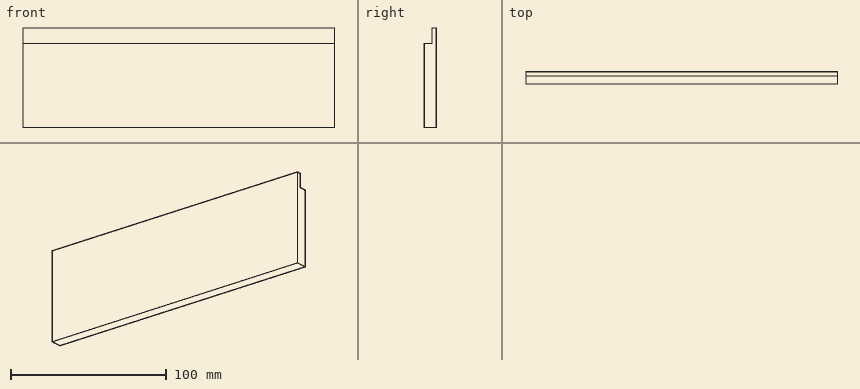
import cadquery as cq

length = 200
thickness = 8
height = 64

lip_height = 10
lip_thickness = 3.0

plate = cq.Workplane("XY").box(length, thickness, height, centered=False)

step = (
    cq.Workplane("XY")
    .box(length, thickness - lip_thickness, lip_height, centered=False)
    .translate((0, 0, height - lip_height))
)

result = plate.cut(step)